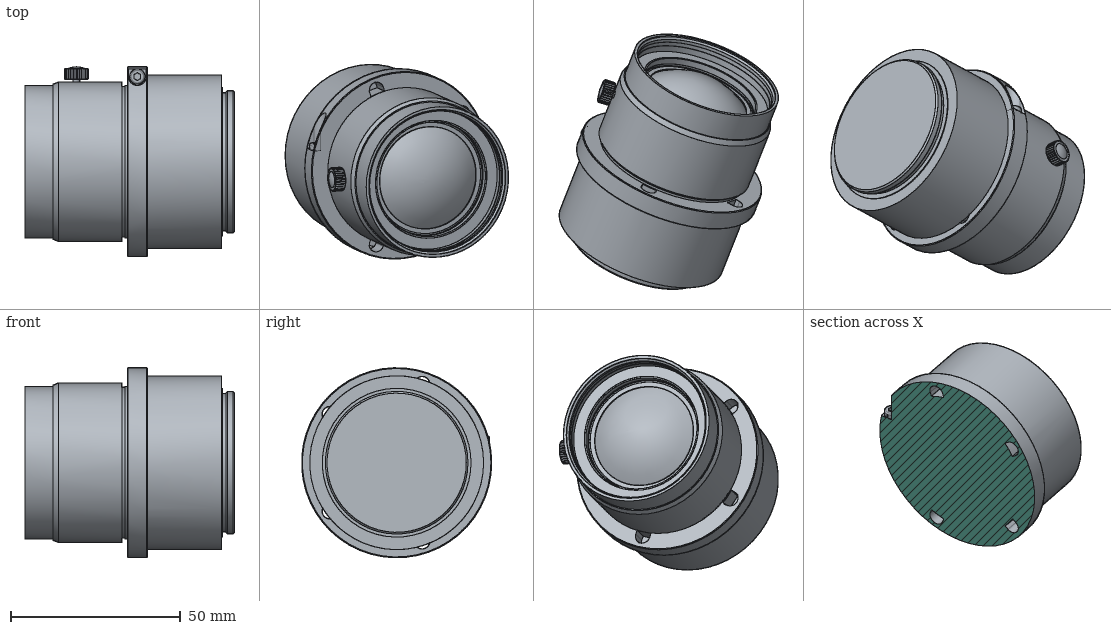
import cadquery as cq
import math


TOTAL_LENGTH = 61.83
FRONT_DIA = 45.0
FRONT_END = 8.3
BARREL_DIA = 47.04
BARREL_NOSE_DIA = 45.7
BARREL_CONE_END = 9.9
BARREL_END = 28.6
NECK_DIA = 44.5
NECK_END = 29.5
COLLAR_DIA = 45.0
FLANGE_DIA = 56.0
FLANGE_START = 30.2
FLANGE_END = 36.1
FLANGE_CHAMFER = 0.25
HOUSING_DIA = 51.2
HOUSING_END = 58.0
REAR_STEP_DIA = 43.8
REAR_STEP_END = 58.25
REAR_NECK_DIA = 40.8
REAR_NECK_END = 59.2
REAR_RING_DIA = 42.0
REAR_RING_CHAMFER = 0.5

MOUTH_DIA = 43.2
MOUTH_DEPTH = 0.4
FRONT_BORE_DIA = 42.1
BORE_CONE_DEPTH = 0.95
FIRST_STEP_DEPTH = 1.9
MIDDLE_BORE_DIA = 42.0
SECOND_STEP_DEPTH = 3.1
REAR_BORE_DIA = 41.7
BORE_FLOOR_DEPTH = 5.0
RECESS_MOUTH_DIA = 35.2
RECESS_MOUTH_DEPTH = 5.1
RECESS_DIA = 34.3
RECESS_STEP_DEPTH = 7.0
RECESS_FLOOR_DIA = 34.1
RECESS_FLOOR_DEPTH = 7.55
LENS_SEAT_DIA = 33.2
LENS_SEAT_DEPTH = 7.6
LENS_EDGE_DEPTH = 8.0
LENS_DIA = 30.5
LENS_APEX_DEPTH = 2.3

SLOT_WIDTH = 4.5
SLOT_CENTER_RADIUS = 24.3
SLOT_HUB_DIA = 46.2
SLOT_PITCH = 72.0
SLOT_ANGLES = [SLOT_PITCH * step for step in range(1, 5)]

CLAMP_X = (FLANGE_START + FLANGE_END) / 2
CLAMP_Y = 25.1
SPOT_FACE_DIA = 5.2
SPOT_FACE_Z = 6.0
CLAMP_HEAD_DIA = 4.5
CLAMP_HEAD_TOP = 7.7
CLAMP_HEAD_FILLET = 0.4
CLAMP_SOCKET_FLATS = 2.0
CLAMP_SOCKET_DEPTH = 1.0

KNOB_X = 15.2
KNOB_DIA = 7.0
KNOB_BOTTOM = 24.3
KNOB_TOP = 27.5
KNOB_CHAMFER = 0.2
KNOB_DOME_DIA = 4.8
KNOB_DOME_HEIGHT = 0.5
KNOB_STEM_DIA = 2.05
KNURL_COUNT = 28
KNURL_DEPTH = 0.3


def make_lens_body():
    """Revolve the whole outline, front bore and lens dome included, about X."""
    flange_edge_radius = FLANGE_DIA / 2 - FLANGE_CHAMFER
    ring_edge_radius = REAR_RING_DIA / 2 - REAR_RING_CHAMFER

    lens_radius = LENS_DIA / 2
    sag = LENS_EDGE_DEPTH - LENS_APEX_DEPTH
    dome_radius = (lens_radius**2 + sag**2) / (2 * sag)
    mid_radius = lens_radius / 2
    dome_drop = dome_radius - math.sqrt(dome_radius**2 - mid_radius**2)

    outline = (
        cq.Workplane("XY")
        .moveTo(LENS_APEX_DEPTH, 0)
        .threePointArc((LENS_APEX_DEPTH + dome_drop, mid_radius), (LENS_EDGE_DEPTH, lens_radius))
        .lineTo(LENS_SEAT_DEPTH, lens_radius)
        .lineTo(LENS_SEAT_DEPTH, LENS_SEAT_DIA / 2)
        .lineTo(RECESS_FLOOR_DEPTH, LENS_SEAT_DIA / 2)
        .lineTo(RECESS_FLOOR_DEPTH, RECESS_FLOOR_DIA / 2)
        .lineTo(RECESS_STEP_DEPTH, RECESS_FLOOR_DIA / 2)
        .lineTo(RECESS_STEP_DEPTH, RECESS_DIA / 2)
        .lineTo(RECESS_MOUTH_DEPTH, RECESS_DIA / 2)
        .lineTo(RECESS_MOUTH_DEPTH, RECESS_MOUTH_DIA / 2)
        .lineTo(BORE_FLOOR_DEPTH, RECESS_MOUTH_DIA / 2)
        .lineTo(BORE_FLOOR_DEPTH, REAR_BORE_DIA / 2)
        .lineTo(SECOND_STEP_DEPTH, REAR_BORE_DIA / 2)
        .lineTo(SECOND_STEP_DEPTH, MIDDLE_BORE_DIA / 2)
        .lineTo(FIRST_STEP_DEPTH, MIDDLE_BORE_DIA / 2)
        .lineTo(FIRST_STEP_DEPTH, FRONT_BORE_DIA / 2)
        .lineTo(BORE_CONE_DEPTH, FRONT_BORE_DIA / 2)
        .lineTo(MOUTH_DEPTH, MOUTH_DIA / 2)
        .lineTo(0, MOUTH_DIA / 2)
        .lineTo(0, FRONT_DIA / 2)
        .lineTo(FRONT_END, FRONT_DIA / 2)
        .lineTo(FRONT_END, BARREL_NOSE_DIA / 2)
        .lineTo(BARREL_CONE_END, BARREL_DIA / 2)
        .lineTo(BARREL_END, BARREL_DIA / 2)
        .lineTo(BARREL_END, NECK_DIA / 2)
        .lineTo(NECK_END, NECK_DIA / 2)
        .lineTo(NECK_END, COLLAR_DIA / 2)
        .lineTo(FLANGE_START, COLLAR_DIA / 2)
        .lineTo(FLANGE_START, flange_edge_radius)
        .lineTo(FLANGE_START + FLANGE_CHAMFER, FLANGE_DIA / 2)
        .lineTo(FLANGE_END - FLANGE_CHAMFER, FLANGE_DIA / 2)
        .lineTo(FLANGE_END, flange_edge_radius)
        .lineTo(FLANGE_END, HOUSING_DIA / 2)
        .lineTo(HOUSING_END, HOUSING_DIA / 2)
        .lineTo(HOUSING_END, REAR_STEP_DIA / 2)
        .lineTo(REAR_STEP_END, REAR_STEP_DIA / 2)
        .lineTo(REAR_STEP_END, REAR_NECK_DIA / 2)
        .lineTo(REAR_NECK_END, REAR_NECK_DIA / 2)
        .lineTo(REAR_NECK_END, ring_edge_radius)
        .lineTo(REAR_NECK_END + REAR_RING_CHAMFER, REAR_RING_DIA / 2)
        .lineTo(TOTAL_LENGTH - REAR_RING_CHAMFER, REAR_RING_DIA / 2)
        .lineTo(TOTAL_LENGTH, ring_edge_radius)
        .lineTo(TOTAL_LENGTH, 0)
        .close()
    )
    return outline.revolve(360, (0, 0, 0), (1, 0, 0))


def make_screw_slots():
    """Slots through the flange, round at the outer end and bounded by the flange hub inside.

    Their angles about X are measured from +Y towards +Z.
    """
    depth = FLANGE_END - FLANGE_START
    plane = cq.Workplane("YZ").workplane(offset=FLANGE_START)
    hub = plane.circle(SLOT_HUB_DIA / 2).extrude(depth)
    round_end = plane.center(SLOT_CENTER_RADIUS, 0).circle(SLOT_WIDTH / 2).extrude(depth)
    straight = (
        plane.center(SLOT_CENTER_RADIUS / 2, 0).rect(SLOT_CENTER_RADIUS, SLOT_WIDTH).extrude(depth)
    )
    slot = round_end.union(straight).cut(hub)
    return [slot.rotate((0, 0, 0), (1, 0, 0), angle) for angle in SLOT_ANGLES]


def make_spot_face():
    """Round-ended notch above the clamp screw seat, open towards +Y."""
    plane = cq.Workplane("XY").workplane(offset=SPOT_FACE_Z)
    height = FLANGE_DIA / 2 - SPOT_FACE_Z
    round_end = plane.center(CLAMP_X, CLAMP_Y).circle(SPOT_FACE_DIA / 2).extrude(height)
    reach = FLANGE_DIA / 2 - CLAMP_Y
    open_side = (
        plane.center(CLAMP_X, CLAMP_Y + reach / 2).rect(SPOT_FACE_DIA, reach).extrude(height)
    )
    return round_end.union(open_side)


def make_clamp_screw_head():
    """Round screw head with a hexagon socket turned so that two of its flats face along X."""
    head = (
        cq.Workplane("XY")
        .workplane(offset=SPOT_FACE_Z)
        .center(CLAMP_X, CLAMP_Y)
        .circle(CLAMP_HEAD_DIA / 2)
        .extrude(CLAMP_HEAD_TOP - SPOT_FACE_Z)
        .faces(">Z")
        .edges()
        .fillet(CLAMP_HEAD_FILLET)
    )
    socket = (
        cq.Workplane("XY")
        .workplane(offset=CLAMP_HEAD_TOP - CLAMP_SOCKET_DEPTH)
        .polygon(6, CLAMP_SOCKET_FLATS / math.cos(math.pi / 6))
        .extrude(CLAMP_SOCKET_DEPTH)
        .rotate((0, 0, 0), (0, 0, 1), 90)
        .translate((CLAMP_X, CLAMP_Y, 0))
    )
    return head.cut(socket)


def make_knob():
    """Knurled head with a domed top on a stem that reaches into the barrel."""
    radius = KNOB_DIA / 2
    profile = (
        cq.Workplane("XY")
        .moveTo(0, KNOB_BOTTOM)
        .lineTo(radius - KNOB_CHAMFER, KNOB_BOTTOM)
        .lineTo(radius, KNOB_BOTTOM + KNOB_CHAMFER)
        .lineTo(radius, KNOB_TOP - KNOB_CHAMFER)
        .lineTo(radius - KNOB_CHAMFER, KNOB_TOP)
        .lineTo(KNOB_DOME_DIA / 2, KNOB_TOP)
    )
    dome_half = KNOB_DOME_DIA / 2
    sphere_radius = (dome_half**2 + KNOB_DOME_HEIGHT**2) / (2 * KNOB_DOME_HEIGHT)
    mid_x = dome_half / 2
    mid_y = KNOB_TOP + KNOB_DOME_HEIGHT - sphere_radius + math.sqrt(sphere_radius**2 - mid_x**2)
    head = (
        profile.threePointArc((mid_x, mid_y), (0, KNOB_TOP + KNOB_DOME_HEIGHT))
        .close()
        .revolve(360, (0, 0, 0), (0, 1, 0))
    )
    teeth = []
    for step in range(2 * KNURL_COUNT):
        angle = math.pi * step / KNURL_COUNT
        tooth_radius = radius - KNURL_DEPTH * (step % 2)
        teeth.append((tooth_radius * math.cos(angle), tooth_radius * math.sin(angle)))
    knurl = (
        cq.Workplane("XZ", origin=(0, KNOB_TOP + KNOB_DOME_HEIGHT, 0))
        .polyline(teeth)
        .close()
        .extrude(KNOB_TOP + KNOB_DOME_HEIGHT - KNOB_BOTTOM)
    )
    stem_start = BARREL_DIA / 2 - KNOB_STEM_DIA / 2
    stem = (
        cq.Workplane("XZ", origin=(0, KNOB_BOTTOM, 0))
        .circle(KNOB_STEM_DIA / 2)
        .extrude(KNOB_BOTTOM - stem_start)
    )
    return head.intersect(knurl).union(stem).translate((KNOB_X, 0, 0))


lens_body = make_lens_body()
for screw_slot in make_screw_slots():
    lens_body = lens_body.cut(screw_slot)

result = (
    lens_body.cut(make_spot_face())
    .union(make_clamp_screw_head())
    .union(make_knob())
)